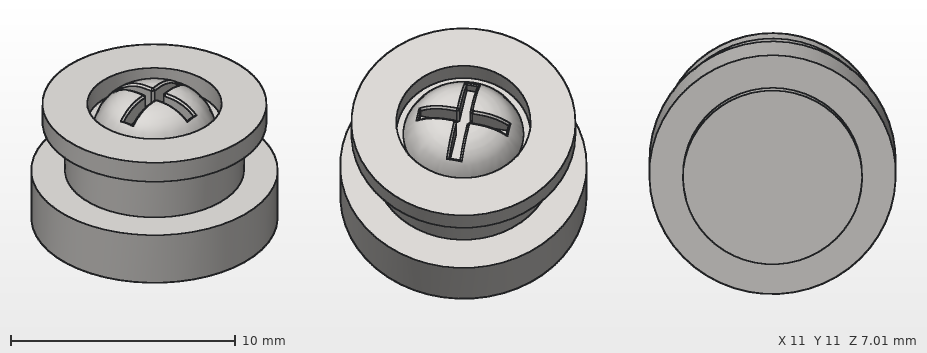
import cadquery as cq

flange_diameter = 11.0
rim_diameter = 10.0
core_diameter = 8.0
foot_height = 0.5
flange_height = 2.51
neck_height = 2.5
rim_height = 1.0
body_height = foot_height + flange_height + neck_height + rim_height

recess_diameter = 6.0
recess_depth = 1.0
head_diameter = 5.5
head_rise = 0.5
embed_depth = 1.0
head_round_radius = 2.0
recess_floor = body_height - recess_depth
head_top = body_height + head_rise

slot_length = 4.0
slot_width = 0.5
slot_depth = 1.0
slot_chamfer = 0.1


def disc(diameter, bottom, height):
    """Upright cylinder centred on the Z axis."""
    return cq.Workplane("XY").workplane(offset=bottom).circle(diameter / 2).extrude(height)


def make_body():
    """Spool with a wide flange, a narrower rim and a recess in the top."""
    flange_top = foot_height + flange_height
    body = disc(core_diameter, 0, body_height)
    body = body.union(disc(flange_diameter, foot_height, flange_height))
    body = body.union(disc(rim_diameter, flange_top + neck_height, rim_height))
    return body.cut(disc(recess_diameter, recess_floor, recess_depth))


def make_head():
    """Rounded screw head with a chamfered cross slot, sunk into the body."""
    head_bottom = recess_floor - embed_depth
    head = disc(head_diameter, head_bottom, head_top - head_bottom)
    head = head.faces(">Z").edges().fillet(head_round_radius)
    head = head.rotate((0, 0, 0), (0, 0, 1), 45)

    slot_floor = head_top - slot_depth
    slot_plane = cq.Workplane("XY").workplane(offset=slot_floor)
    slot = slot_plane.rect(slot_length, slot_width).extrude(slot_depth)
    slot = slot.union(slot_plane.rect(slot_width, slot_length).extrude(slot_depth))
    head = head.cut(slot)

    reach = slot_length / 2 + slot_chamfer
    mouth_zone = cq.selectors.BoxSelector(
        (-reach, -reach, slot_floor + slot_depth / 4),
        (reach, reach, head_top + slot_chamfer),
    )
    inner_corner_zone = cq.selectors.BoxSelector(
        (-slot_width, -slot_width, slot_floor + slot_depth / 4),
        (slot_width, slot_width, head_top - slot_chamfer),
    )
    head = head.edges(inner_corner_zone).edges("|Z").chamfer(slot_chamfer)
    mouth_edges = head.edges(mouth_zone).edges("not |Z")
    return mouth_edges.chamfer(slot_chamfer)


result = make_body().union(make_head())